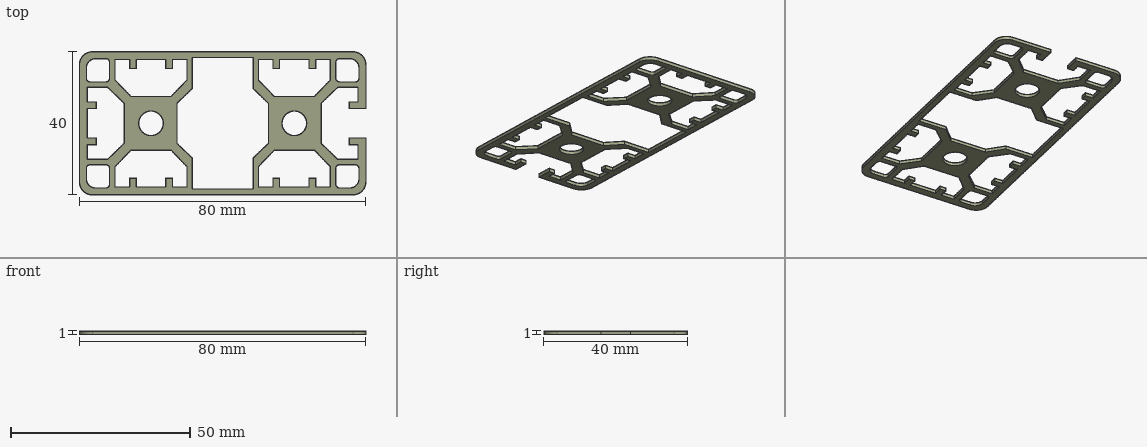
import cadquery as cq

length = 80.0
width = 40.0
thickness = length / 80
outer_radius = 3.7

cell = width / 2
hub_centres = (-cell, cell)
hole_diameter = 6.8
hub_half = 7.5

slot_wall = 2.2
cavity_half = 10.0
floor_half = 5.6
shoulder = 12.1

mouth_half = 4.1
lip_thickness = 1.9
lip_depth = 4.7

box_wall = 2.0
box_size = 6.4
box_outer_radius = 2.5
box_inner_radius = 1.0

window_half = 8.5
window_wall = 1.7
window_shoulder = 9.7
window_hub_reach = 12.7


def prism(points):
    """Extrude a closed XY outline through the full thickness."""
    return cq.Workplane("XY").polyline(points).close().extrude(thickness)


def block(x_min, x_max, y_min, y_max):
    """Rectangular prism between the given limits."""
    return prism([(x_min, y_min), (x_max, y_min), (x_max, y_max), (x_min, y_max)])


def place(shape, hub_x, angle):
    """Turn a shape about the hub axis and move it to the hub."""
    return shape.rotate((0, 0, 0), (0, 0, 1), angle).translate((hub_x, 0, 0))


def slot_cavity():
    """Cavity of a slot facing +Y, lips left standing, around a hub at the origin."""
    wall_y = cell - slot_wall
    lip_y = cell - lip_depth
    cavity = prism([
        (-cavity_half, wall_y),
        (-cavity_half, shoulder),
        (-floor_half, hub_half),
        (floor_half, hub_half),
        (cavity_half, shoulder),
        (cavity_half, wall_y),
    ])
    for side in (-1, 1):
        lip_edges = sorted((side * mouth_half, side * (mouth_half + lip_thickness)))
        cavity = cavity.cut(block(*lip_edges, lip_y, wall_y))
    return cavity


def corner_box():
    """Hollow of the +X +Y corner, with a larger radius at the outer corner."""
    x_max = length / 2 - box_wall
    y_max = width / 2 - box_wall
    box = block(x_max - box_size, x_max, y_max - box_size, y_max)
    box = box.edges("|Z and (<X or <Y)").fillet(box_inner_radius)
    outer_corner = cq.selectors.NearestToPointSelector((x_max, y_max, thickness / 2))
    return box.edges(outer_corner).fillet(box_outer_radius)


def window():
    """Window spanning both cells, widened where it meets the hubs."""
    window_y = width / 2 - window_wall
    half = [
        (window_half, -window_y),
        (window_half, -window_shoulder),
        (window_hub_reach, -floor_half),
        (window_hub_reach, floor_half),
        (window_half, window_shoulder),
        (window_half, window_y),
    ]
    return prism(half + [(-x, -y) for x, y in half])


plate = cq.Workplane("XY").rect(length, width).extrude(thickness).edges("|Z").fillet(outer_radius)

hole_points = [(x, 0) for x in hub_centres]
holes = cq.Workplane("XY").pushPoints(hole_points).circle(hole_diameter / 2).extrude(thickness)
plate = plate.cut(holes)

slot_places = [(x, angle) for x in hub_centres for angle in (0, 180)]
slot_places += [(-cell, 90), (cell, -90)]
for hub_x, angle in slot_places:
    plate = plate.cut(place(slot_cavity(), hub_x, angle))

plate = plate.cut(block(length / 2 - lip_depth, length / 2, -mouth_half, mouth_half))

corner_hollow = corner_box()
for hollow in (corner_hollow, corner_hollow.mirror("YZ")):
    plate = plate.cut(hollow).cut(hollow.mirror("XZ"))

result = plate.cut(window())